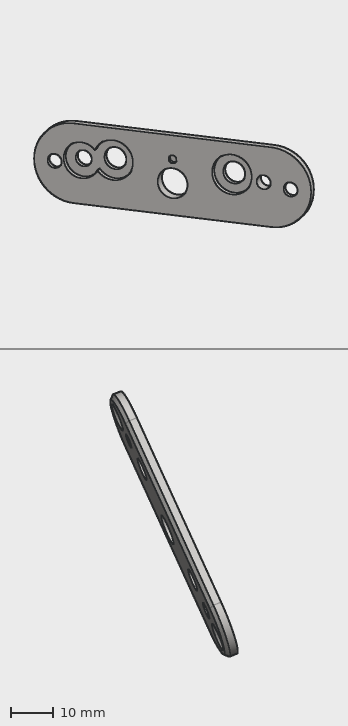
import cadquery as cq

LENGTH = 70.0
HEIGHT = 20.0
THICKNESS = 3.0
EDGE_CHAMFER = 1.0

SCREW_X = 29.8
SCREW_DIAMETER = 3.5
COUNTERSINK_DIAMETER = 6.8

LARGE_X = 15.0
LARGE_Z = 2.0
LARGE_DIAMETER = 5.5
LARGE_RECESS_DIAMETER = 10.0
RECESS_DEPTH = 1.5

SMALL_X = 23.0
SMALL_Z = 1.0
STEPPED_DIAMETER = 4.0
STEPPED_RECESS_DIAMETER = 9.0
PLAIN_DIAMETER = 3.5

CENTRE_Z = -2.0
CENTRE_DIAMETER = 7.5
PIN_Z = 4.0
PIN_DIAMETER = 2.0
PIN_DEPTH = 1.0


def make_plate():
    """Stadium plate with its whole back edge chamfered."""
    plate = cq.Workplane("XZ").slot2D(LENGTH, HEIGHT).extrude(-THICKNESS)
    return plate.faces(">Y").edges().chamfer(EDGE_CHAMFER)


def front_bore(x, z, diameter, depth=THICKNESS):
    """Cylinder to cut away, running from the front face to the given depth."""
    return cq.Workplane("XZ").center(x, z).circle(diameter / 2).extrude(-depth)


def cut_stepped_hole(body, x, z, diameter, recess_diameter):
    """Through hole with a wider, flat-bottomed recess in the front face."""
    body = body.cut(front_bore(x, z, diameter))
    return body.cut(front_bore(x, z, recess_diameter, RECESS_DEPTH))


def cut_screw_hole(body, x):
    """Through hole on the long axis, with a 90 degree countersink opening to the back."""
    hole_radius = SCREW_DIAMETER / 2
    mouth_radius = COUNTERSINK_DIAMETER / 2
    cone_depth = mouth_radius - hole_radius
    cone_mouth = cq.Vector(x, THICKNESS, 0)
    toward_front = cq.Vector(0, -1, 0)
    cone = cq.Solid.makeCone(mouth_radius, hole_radius, cone_depth, cone_mouth, toward_front)
    return body.cut(front_bore(x, 0, SCREW_DIAMETER)).cut(cq.Workplane(cone))


result = make_plate()
for screw_x in (-SCREW_X, SCREW_X):
    result = cut_screw_hole(result, screw_x)
for large_x in (-LARGE_X, LARGE_X):
    result = cut_stepped_hole(result, large_x, LARGE_Z, LARGE_DIAMETER, LARGE_RECESS_DIAMETER)
result = cut_stepped_hole(result, -SMALL_X, SMALL_Z, STEPPED_DIAMETER, STEPPED_RECESS_DIAMETER)
result = result.cut(front_bore(SMALL_X, SMALL_Z, PLAIN_DIAMETER))
result = result.cut(front_bore(0, CENTRE_Z, CENTRE_DIAMETER))
result = result.cut(front_bore(0, PIN_Z, PIN_DIAMETER, PIN_DEPTH))